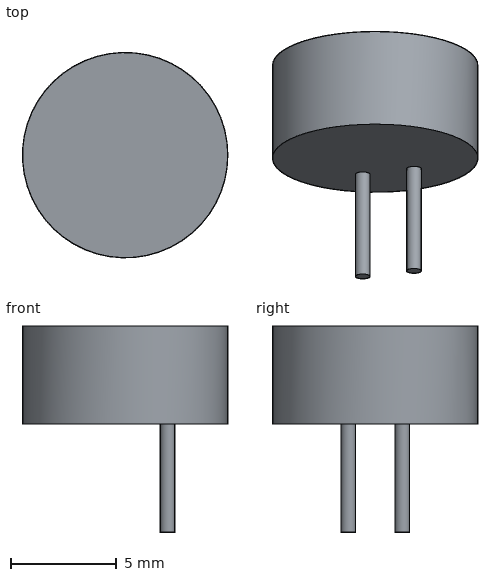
import cadquery as cq

housing_diameter = 9.7
housing_height = 4.64

total_height = 9.75
pin_diameter = 0.69
pin_length = total_height - housing_height
pin_pitch = 2.54
pin_offset_x = 2.0


def make_housing():
    """Plain round housing standing on the XY plane, centred on the Z axis."""
    return cq.Workplane("XY").circle(housing_diameter / 2).extrude(housing_height)


def make_pin(y):
    """Straight round pin hanging from the underside of the housing."""
    return (
        cq.Workplane("XY")
        .center(pin_offset_x, y)
        .circle(pin_diameter / 2)
        .extrude(-pin_length)
    )


housing = make_housing()
pins = [make_pin(side * pin_pitch / 2) for side in (-1, 1)]

result = cq.Compound.makeCompound([housing.val(), *[pin.val() for pin in pins]])